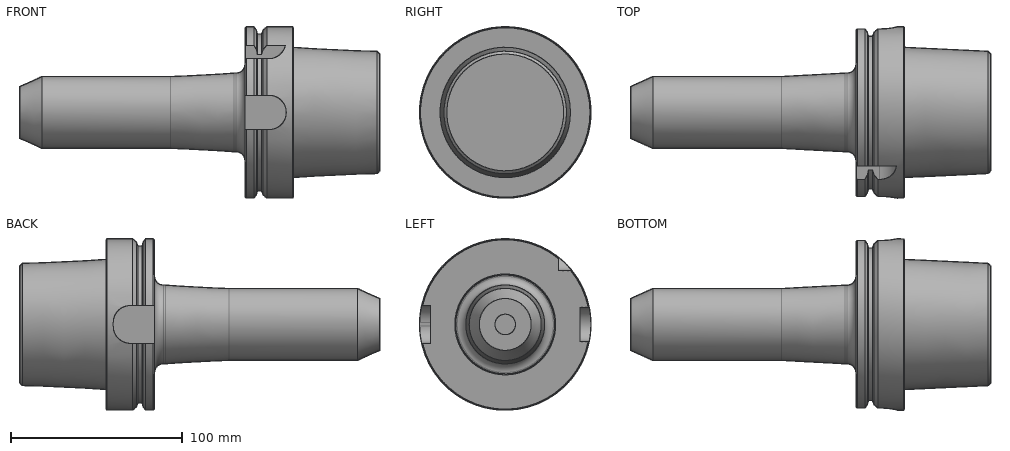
import cadquery as cq

total_length = 210.0
nose_end_x = 13.0
neck_start_x = 88.0
neck_end_x = 125.0
collar_start_x = 126.2
flange_start_x = 131.5
flange_end_x = 159.5
taper_end_x = 208.3

nose_radius = 15.1
shank_radius = 21.0
neck_end_radius = 46.0 / 2
flange_radius = 100.0 / 2
taper_start_radius = 38.0
taper_end_radius = 35.7

root_fillet = 5.0
collar_radius = 29.5
collar_chamfer = 0.6
flange_chamfer = 0.6
taper_end_chamfer = total_length - taper_end_x

groove_left_x = 136.5
groove_left_knee_x = 138.0
groove_floor_start_x = 138.5
groove_floor_end_x = 141.0
groove_right_knee_x = 142.0
groove_right_x = 144.0
groove_floor_radius = 45.8
groove_knee_radius = 48.0

slot_end_x = 155.5
slot_floor = 43.7
slot_corner_radius = 9.98
front_slot_width = 2 * slot_corner_radius
back_slot_width = 22.0

notch_floor_z = 31.3
notch_wall_y = -31.0
notch_end_radius = 10.0
notch_curve_start_x = 145.1

nose_hole_diameter = 12.0
nose_hole_depth = 21.0


def turned_body():
    """Solid of revolution: nose, shank, neck, flange and taper."""
    root_end_x = collar_start_x + root_fillet
    root_mid_offset = root_fillet * 0.5 ** 0.5
    profile = (
        cq.Workplane("XY")
        .moveTo(0, 0)
        .lineTo(0, nose_radius)
        .lineTo(nose_end_x, shank_radius)
        .lineTo(neck_start_x, shank_radius)
        .lineTo(neck_end_x, neck_end_radius)
        .lineTo(collar_start_x, neck_end_radius)
        .threePointArc(
            (collar_start_x + root_mid_offset, neck_end_radius + root_fillet - root_mid_offset),
            (root_end_x, neck_end_radius + root_fillet),
        )
        .lineTo(root_end_x, collar_radius - collar_chamfer)
        .lineTo(flange_start_x, collar_radius)
        .lineTo(flange_start_x, flange_radius - flange_chamfer)
        .lineTo(flange_start_x + flange_chamfer, flange_radius)
        .lineTo(groove_left_x, flange_radius)
        .lineTo(groove_left_knee_x, groove_knee_radius)
        .lineTo(groove_floor_start_x, groove_floor_radius)
        .lineTo(groove_floor_end_x, groove_floor_radius)
        .lineTo(groove_right_knee_x, groove_knee_radius)
        .lineTo(groove_right_x, flange_radius)
        .lineTo(flange_end_x - flange_chamfer, flange_radius)
        .lineTo(flange_end_x, flange_radius - flange_chamfer)
        .lineTo(flange_end_x, taper_start_radius)
        .lineTo(taper_end_x, taper_end_radius)
        .lineTo(total_length, taper_end_radius - taper_end_chamfer)
        .lineTo(total_length, 0)
        .close()
    )
    return profile.revolve(360, (0, 0, 0), (1, 0, 0))


def drive_slot(width, side):
    """Cutter for a slot open toward the nose; side is -1 for -Y and +1 for +Y."""
    half_width = width / 2
    corner_mid_offset = slot_corner_radius * (1 - 0.5 ** 0.5)
    arc_start_x = slot_end_x - slot_corner_radius
    end_flat_half = half_width - slot_corner_radius
    outline = (
        cq.Workplane("XZ", origin=(0, side * slot_floor, 0))
        .moveTo(flange_start_x, -half_width)
        .lineTo(arc_start_x, -half_width)
        .threePointArc(
            (slot_end_x - corner_mid_offset, -half_width + corner_mid_offset),
            (slot_end_x, -end_flat_half),
        )
    )
    if end_flat_half > 0:
        outline = outline.lineTo(slot_end_x, end_flat_half)
    outline = (
        outline.threePointArc(
            (slot_end_x - corner_mid_offset, half_width - corner_mid_offset),
            (arc_start_x, half_width),
        )
        .lineTo(flange_start_x, half_width)
        .close()
    )
    return outline.extrude(-side * flange_radius)


def indexing_notch():
    """Cutter with a flat floor that sweeps up in a quarter round at its end."""
    end_x = notch_curve_start_x + notch_end_radius
    mid_offset = notch_end_radius * 0.5 ** 0.5
    return (
        cq.Workplane("XZ", origin=(0, notch_wall_y, 0))
        .moveTo(flange_start_x, notch_floor_z)
        .lineTo(notch_curve_start_x, notch_floor_z)
        .threePointArc(
            (notch_curve_start_x + mid_offset, notch_floor_z + notch_end_radius - mid_offset),
            (end_x, notch_floor_z + notch_end_radius),
        )
        .lineTo(end_x, flange_radius)
        .lineTo(flange_start_x, flange_radius)
        .close()
        .extrude(flange_radius)
    )


def nose_hole():
    """Cutter for the flat-bottomed hole on the axis."""
    return cq.Workplane("YZ").circle(nose_hole_diameter / 2).extrude(nose_hole_depth)


result = (
    turned_body()
    .cut(drive_slot(front_slot_width, -1))
    .cut(drive_slot(back_slot_width, 1))
    .cut(indexing_notch())
    .cut(nose_hole())
)